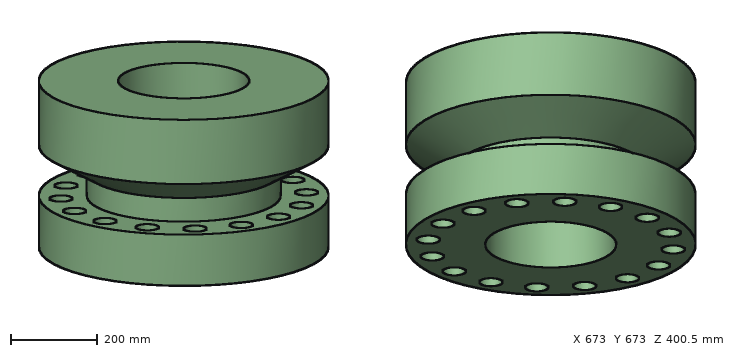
import cadquery as cq

outer_diameter = 673.0
total_height = 400.5
bore_diameter = 304.0

flange_thickness = 124.0
neck_length = 57.0
hub_thickness = 155.0
hub_bottom = total_height - hub_thickness
neck_top = flange_thickness + neck_length

neck_diameter = 451.0

bolt_hole_count = 16
bolt_hole_diameter = 54.0
bolt_circle_diameter = 572.0

outer_radius = outer_diameter / 2
bore_radius = bore_diameter / 2
neck_radius = neck_diameter / 2


def revolved_body():
    """Flange, neck, cone and upper hub around a plain through bore."""
    half_section = [
        (bore_radius, 0),
        (outer_radius, 0),
        (outer_radius, flange_thickness),
        (neck_radius, flange_thickness),
        (neck_radius, neck_top),
        (outer_radius, hub_bottom),
        (outer_radius, total_height),
        (bore_radius, total_height),
    ]
    return cq.Workplane("XZ").polyline(half_section).close().revolve(360, (0, 0), (0, 1))


def bolt_holes():
    """Ring of cylinders as tall as the lower flange, one of them on the +X axis."""
    return (
        cq.Workplane("XY")
        .polarArray(bolt_circle_diameter / 2, 0, 360, bolt_hole_count)
        .circle(bolt_hole_diameter / 2)
        .extrude(flange_thickness)
    )


result = revolved_body().cut(bolt_holes())